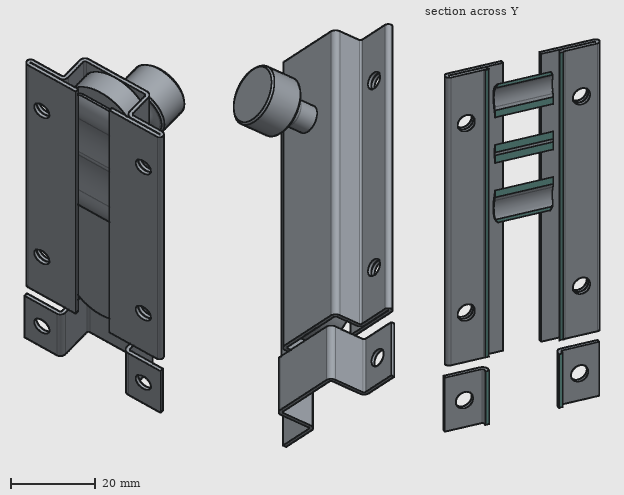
import cadquery as cq
import math


TOTAL_LENGTH = 98.8
PLATE_WIDTH = 40.0
SHEET = 1.0
BEND_INNER = 0.5
BEND_OUTER = BEND_INNER + SHEET
CHANNEL_WIDTH = 20.1
SCREW_HOLE_DIAMETER = 4.4
SCREW_HOLE_X = 14.9

STRIKE_LENGTH = 15.0
STRIKE_DEPTH = 11.5

HOUSING_LENGTH = 80.0
HOUSING_DEPTH = 10.1
HOUSING_BOTTOM = TOTAL_LENGTH - HOUSING_LENGTH
HOUSING_HOLE_SPACING = 52.7
HEM_GAP = 0.1
HEM_THICKNESS = 2 * SHEET + HEM_GAP
HEM_RADIUS = HEM_THICKNESS / 2
FRONT_OPENING = 9.9

BOLT_WIDTH = 16.0
BOLT_END_RADIUS = 10.1
BOLT_FRONT = 3.3
BOLT_BACK = HOUSING_DEPTH - SHEET
STEM_RADIUS = 3.51
KNOB_RADIUS = 7.5
KNOB_Z = 78.25
KNOB_BASE = 18.1
KNOB_TOP = 27.1
KNOB_CHAMFER = 0.5
STEM_FILLET = 3.0

SPRING_SHEET = 0.5
SPRING_FRONT = SHEET + HEM_GAP
SPRING_WIDTH = 15.1
SPRING_HALF_LENGTH = 20.0
SPRING_Z = 74.8
SPRING_CORNER = 2.5
CREST_RADIUS = 2.2
VALLEY_RADIUS = 20.55
BUMP_RADIUS = 7.8
VALLEY_OFFSET = 6.3
BUMP_OFFSET = 15.3


def box(x_range, y_range, z_range):
    """Box spanning the given X, Y and Z ranges."""
    lows, highs = zip(x_range, y_range, z_range)
    sizes = [high - low for low, high in zip(lows, highs)]
    return cq.Workplane("XY").box(*sizes, centered=False).translate(lows)


def fillet_lengthwise(body, x, y, radius):
    """Round the two edges parallel to Z at (-x, y) and (x, y)."""
    reach = SHEET / 10
    for side in (-1, 1):
        corner_box = cq.selectors.BoxSelector(
            (side * x - reach, y - reach, 0),
            (side * x + reach, y + reach, TOTAL_LENGTH),
        )
        body = body.edges("|Z").edges(corner_box).fillet(radius)
    return body


def hat_channel(depth, flange_front, flange_tip, z_bottom, length):
    """Bent sheet with a back wall, two side walls and two outward flanges."""
    outer = CHANNEL_WIDTH / 2
    inner = outer - SHEET
    back_inner = depth - SHEET
    flange_back = flange_front + SHEET
    half_outline = [
        (0, depth),
        (outer, depth),
        (outer, flange_back),
        (flange_tip, flange_back),
        (flange_tip, flange_front),
        (inner, flange_front),
        (inner, back_inner),
        (0, back_inner),
    ]
    body = (
        cq.Workplane("XY", origin=(0, 0, z_bottom))
        .polyline(half_outline)
        .mirrorY()
        .extrude(length)
    )
    body = fillet_lengthwise(body, outer, depth, BEND_OUTER)
    body = fillet_lengthwise(body, inner, back_inner, BEND_INNER)
    body = fillet_lengthwise(body, outer, flange_back, BEND_INNER)
    return fillet_lengthwise(body, inner, flange_front, BEND_OUTER)


def screw_holes(z_positions, depth):
    """Cutters for a left and a right screw hole at each height."""
    points = [(x, z) for x in (-SCREW_HOLE_X, SCREW_HOLE_X) for z in z_positions]
    return cq.Workplane("XZ").pushPoints(points).circle(SCREW_HOLE_DIAMETER / 2).extrude(-depth)


def make_strike():
    """Hat-shaped keeper below the housing."""
    body = hat_channel(STRIKE_DEPTH, 0, PLATE_WIDTH / 2, 0, STRIKE_LENGTH)
    return body.cut(screw_holes([STRIKE_LENGTH / 2], STRIKE_DEPTH))


def hem(side):
    """Flange edge folded round and back inwards as the front plate of one side."""
    z_range = (HOUSING_BOTTOM, TOTAL_LENGTH)
    turn_x = PLATE_WIDTH / 2 - HEM_RADIUS
    turn = (
        cq.Workplane("XY", origin=(turn_x, HEM_RADIUS, HOUSING_BOTTOM))
        .circle(HEM_RADIUS)
        .extrude(HOUSING_LENGTH)
    )
    slit = box((0, turn_x), (SHEET, SHEET + HEM_GAP), z_range)
    front_plate = box((FRONT_OPENING / 2, turn_x), (0, SHEET), z_range)
    folded = turn.cut(slit).union(front_plate)
    return folded if side > 0 else folded.mirror("YZ")


def make_housing():
    """Channel that guides the bolt, with hemmed flanges and a hole for the knob stem."""
    flange_tip = PLATE_WIDTH / 2 - HEM_RADIUS
    body = hat_channel(HOUSING_DEPTH, SHEET + HEM_GAP, flange_tip, HOUSING_BOTTOM, HOUSING_LENGTH)
    for side in (-1, 1):
        body = body.union(hem(side))
    middle = HOUSING_BOTTOM + HOUSING_LENGTH / 2
    hole_heights = [middle - HOUSING_HOLE_SPACING / 2, middle + HOUSING_HOLE_SPACING / 2]
    body = body.cut(screw_holes(hole_heights, HEM_THICKNESS))
    stem_hole = (
        cq.Workplane("XZ", origin=(0, BOLT_BACK, KNOB_Z))
        .circle(STEM_RADIUS)
        .extrude(-SHEET)
    )
    return body.cut(stem_hole)


def bolt_bar():
    """Flat bar with arched ends, as long as the housing."""
    half_width = BOLT_WIDTH / 2
    end_rise = BOLT_END_RADIUS - math.sqrt(BOLT_END_RADIUS**2 - half_width**2)
    low_side = HOUSING_BOTTOM + end_rise
    high_side = TOTAL_LENGTH - end_rise
    return (
        cq.Workplane("XZ", origin=(0, BOLT_FRONT, 0))
        .moveTo(-half_width, low_side)
        .threePointArc((0, HOUSING_BOTTOM), (half_width, low_side))
        .lineTo(half_width, high_side)
        .threePointArc((0, TOTAL_LENGTH), (-half_width, high_side))
        .close()
        .extrude(BOLT_FRONT - BOLT_BACK)
    )


def knob():
    """Turned head on a stem, with a hollow curve where they join."""
    diagonal = math.sqrt(0.5)
    flare_radius = STEM_RADIUS + STEM_FILLET
    flare_start = KNOB_BASE - STEM_FILLET
    flare_middle = (flare_radius - diagonal * STEM_FILLET, flare_start + diagonal * STEM_FILLET)
    profile = (
        cq.Workplane("XY")
        .moveTo(0, BOLT_BACK)
        .lineTo(STEM_RADIUS, BOLT_BACK)
        .lineTo(STEM_RADIUS, flare_start)
        .threePointArc(flare_middle, (flare_radius, KNOB_BASE))
        .lineTo(KNOB_RADIUS, KNOB_BASE)
        .lineTo(KNOB_RADIUS, KNOB_TOP)
        .lineTo(0, KNOB_TOP)
        .close()
    )
    turned = profile.revolve(360, (0, 0), (0, 1))
    rim = cq.selectors.RadiusNthSelector(-1)
    turned = turned.edges("%CIRCLE").edges(rim).chamfer(KNOB_CHAMFER)
    return turned.translate((0, 0, KNOB_Z))


def make_bolt():
    """Sliding bar with its knob."""
    return bolt_bar().union(knob())


def blend(start, end, share):
    """Point that lies the given share of the way from start to end."""
    return tuple(a + share * (b - a) for a, b in zip(start, end))


def spring_surface(inset):
    """Arc ends and arc midpoints (Y, Z) of a spring surface set back from the front by inset.

    They run from the upper end to the lower end. The arcs of crest, valley and bump meet
    tangentially, so each joint lies on the line between two arc centers.
    """
    bump_sum = VALLEY_RADIUS + BUMP_RADIUS
    crest_sum = VALLEY_RADIUS + CREST_RADIUS
    bump_y = SPRING_FRONT + BUMP_RADIUS
    valley_y = bump_y - math.sqrt(bump_sum**2 - (BUMP_OFFSET - VALLEY_OFFSET) ** 2)
    crest_y = valley_y + math.sqrt(crest_sum**2 - VALLEY_OFFSET**2)
    crest_center = (crest_y, 0)
    valley_center = (valley_y, VALLEY_OFFSET)
    bump_center = (bump_y, BUMP_OFFSET)

    crest_radius = CREST_RADIUS - inset
    valley_radius = VALLEY_RADIUS + inset
    bump_radius = BUMP_RADIUS - inset
    end_reach = SPRING_HALF_LENGTH - BUMP_OFFSET
    crest_top = (crest_y - crest_radius, 0)
    upper_half = [
        (bump_y - math.sqrt(bump_radius**2 - end_reach**2), SPRING_HALF_LENGTH),
        (bump_y - bump_radius, BUMP_OFFSET),
        blend(valley_center, bump_center, valley_radius / bump_sum),
        (valley_y + valley_radius, VALLEY_OFFSET),
        blend(crest_center, valley_center, crest_radius / crest_sum),
    ]
    lower_half = [(y, -z) for y, z in reversed(upper_half)]
    return upper_half + [crest_top] + lower_half


def draw_arcs(profile, points):
    """Continue the profile from points[0] with arcs, each given by a midpoint and an end."""
    for middle, end in zip(points[1::2], points[2::2]):
        profile = profile.threePointArc(middle, end)
    return profile


def make_spring():
    """Wavy leaf spring in front of the bolt, symmetric about its middle crest."""
    front = spring_surface(0)
    back = spring_surface(SPRING_SHEET)[::-1]
    profile = cq.Workplane("YZ", origin=(-SPRING_WIDTH / 2, 0, SPRING_Z)).moveTo(*front[0])
    profile = draw_arcs(profile, front).lineTo(*back[0])
    strip = draw_arcs(profile, back).close().extrude(SPRING_WIDTH)
    blank = (
        cq.Workplane("XZ", origin=(0, 0, SPRING_Z))
        .rect(SPRING_WIDTH, 2 * SPRING_HALF_LENGTH)
        .extrude(-HOUSING_DEPTH)
        .edges("|Y")
        .fillet(SPRING_CORNER)
    )
    return strip.intersect(blank)


strike = make_strike()
housing = make_housing()
bolt = make_bolt()
spring = make_spring()

result = cq.Compound.makeCompound([body.solids().val() for body in (strike, housing, bolt, spring)])